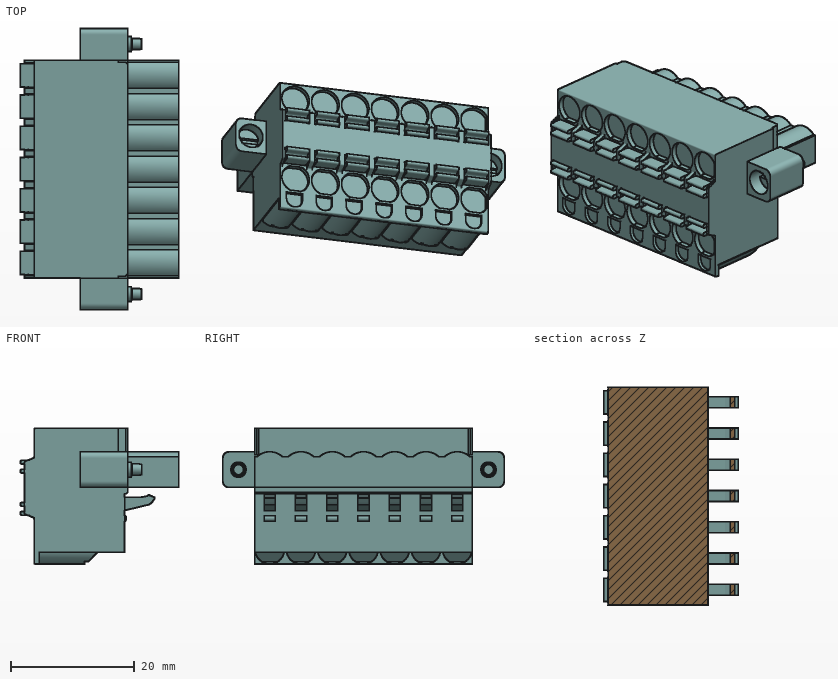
import cadquery as cq

POLES = 7
PITCH = 5.07
TOTAL_LENGTH = 25.75
TOTAL_WIDTH = 45.7
TOTAL_HEIGHT = 22.1

BODY_WIDTH = 35.4
FACE_X = 2.25
BACK_X = 17.45
LOWER_BACK_X = 16.95
BACK_STEP_Z = 11.4
BACK_STEP_ROUND = 0.27
LIP_THICKNESS = 0.82
BELLY_Z = 1.9
EDGE_ROUND = 0.25
MIRROR_Z = 12.4

BAND_X = 0.7
BAND_HALF_ROOT = 4.9
BAND_HALF_CREST = 4.25
BAND_ROUND = 0.27
BAND_ROOT_ROUND = 0.25

NOTCH_DEPTH = 0.3
NOTCH_X = 15.9
NOTCH_CHAMFER = 0.35
NOTCH_SINK = 0.45

ENTRY_RADIUS = 2.35
ENTRY_OFFSET_Y = -0.2
ENTRY_OFFSET_Z = 6.95
ENTRY_INNER_FLAT = 2.1
ENTRY_OUTER_FLAT = 2.15
ENTRY_DEPTH = 0.9
ENTRY_EDGE_WALL = 0.25

WINDOW_RADIUS = 1.35
WINDOW_CENTRE_Z = 1.8
WINDOW_TOP_Z = 2.9
WINDOW_DEPTH = 0.65

BOSS_RADIUS = 2.4
BOSS_FLAT_END_X = 10.45
BOSS_STEP_Z = 0.39
BOSS_STEP_END_X = 11.05
BOSS_END_X = 12.57

BUTTON_WIDTH = 3.8
BUTTON_GAP = 0.2
BUTTON_NEAR = 2.4
BUTTON_FAR = 4.5
BUTTON_NOSE = 0.25
BUTTON_RIB = 0.65
BUTTON_HOLLOW_X = 0.9

SOCKET_BOTTOM_Z = 12.45
SOCKET_TOP_Z = 18.25
SOCKET_VALLEY_Z = 17.4
SOCKET_CROWN_WIDTH = 4.2

EAR_X = 9.75
EAR_ROUND = 1.0
EAR_CENTRE_Z = (SOCKET_BOTTOM_Z + SOCKET_TOP_Z) / 2
SCREW_Y = 20.3
SCREW_HOLE_RADIUS = 2.0
SCREW_HOLE_DEPTH = 2.3
SCREW_SLOT_WIDTH = 0.82
SCREW_SLOT_DEPTH = 0.7
COLLAR_RADIUS = 1.25
COLLAR_END_X = 18.05
SHOULDER_RADIUS = 1.0
SHOULDER_END_X = 18.2
PIN_RADIUS = 0.9
PIN_END_X = 19.7
PIN_TIP_LENGTH = 0.35
PIN_TIP_TAPER = 0.1

LATCH_WIDTH = 1.85
LATCH_BOTTOM_Z = 8.7
LATCH_TOP_Z = 10.9
LATCH_HOOK = [
    (20.95, 9.65),
    (21.35, 9.95),
    (21.85, 10.65),
    (21.85, 10.85),
    (20.85, 11.25),
    (20.6, 11.05),
    (19.7, LATCH_TOP_Z),
]
NUB_Z = 7.4
NUB_HALF_HEIGHT = 0.45
NUB_HEIGHT = 0.27

OVERLAP = 0.45
POLE_YS = [PITCH * (i - (POLES - 1) / 2) for i in range(POLES)]


def plate_y(outline, width, y=0.0):
    """Extrude a closed XZ outline symmetrically about the given Y."""
    return outline.extrude(width / 2, both=True).translate((0, y, 0))


def xz():
    return cq.Workplane("XZ")


def box(x0, x1, y0, y1, z0, z1):
    return cq.Workplane("XY").box(x1 - x0, y1 - y0, z1 - z0, centered=False).translate((x0, y0, z0))


def rod(x0, x1, y, z, radius):
    """Cylinder along X."""
    return cq.Workplane("YZ", origin=(x0, y, z)).circle(radius).extrude(x1 - x0)


def mirrored_z(shape):
    """Mirror a piece to the other row of wire entries."""
    return shape.mirror("XY", (0, 0, MIRROR_Z))


def housing():
    """Side outline extruded over the full width, plus the raised band on the entry face."""
    outline = xz().polyline([
        (FACE_X, 0),
        (FACE_X + LIP_THICKNESS, 0),
        (FACE_X + LIP_THICKNESS, BELLY_Z),
        (LOWER_BACK_X, BELLY_Z),
        (LOWER_BACK_X, BACK_STEP_Z),
        (BACK_X - BACK_STEP_ROUND, BACK_STEP_Z),
        (BACK_X, BACK_STEP_Z + BACK_STEP_ROUND),
        (BACK_X, TOTAL_HEIGHT),
        (FACE_X, TOTAL_HEIGHT),
    ]).close()
    body = plate_y(outline, BODY_WIDTH)
    body = body.faces("<X").edges("|Y").fillet(EDGE_ROUND)

    band = xz().polyline([
        (FACE_X, MIRROR_Z - BAND_HALF_ROOT),
        (BAND_X, MIRROR_Z - BAND_HALF_CREST),
        (BAND_X, MIRROR_Z + BAND_HALF_CREST),
        (FACE_X, MIRROR_Z + BAND_HALF_ROOT),
        (FACE_X + OVERLAP, MIRROR_Z + BAND_HALF_ROOT),
        (FACE_X + OVERLAP, MIRROR_Z - BAND_HALF_ROOT),
    ]).close()
    band = plate_y(band, BODY_WIDTH).faces("<X").edges("|Y").fillet(BAND_ROUND)
    body = body.union(band)

    for side in (-1, 1):
        root = (FACE_X, 0, MIRROR_Z + side * BAND_HALF_ROOT)
        body = body.edges(cq.NearestToPointSelector(root)).fillet(BAND_ROOT_ROUND)
    return body


def corner_notch():
    """Shallow notch on the +Y end, beside and above the screw ear, chamfered at the mating face."""
    edge = BODY_WIDTH / 2
    floor = edge - NOTCH_DEPTH
    bottom_z = SOCKET_TOP_Z - NOTCH_SINK
    return (
        cq.Workplane("XY", origin=(0, 0, bottom_z))
        .polyline([
            (NOTCH_X, edge),
            (NOTCH_X, floor),
            (BACK_X - NOTCH_CHAMFER, floor),
            (BACK_X, floor - NOTCH_CHAMFER),
            (BACK_X, edge),
        ])
        .close()
        .extrude(TOTAL_HEIGHT - bottom_z)
    )


def wire_entry(y, z, low_flat, high_flat):
    """Round pocket with flats at the given distances below and above its centre."""
    depth_end = FACE_X + ENTRY_DEPTH
    wall_y = BODY_WIDTH / 2 - ENTRY_EDGE_WALL
    keep = box(FACE_X, depth_end, -wall_y, wall_y, z - low_flat, z + high_flat)
    return rod(FACE_X, depth_end, y, z, ENTRY_RADIUS).intersect(keep)


def test_window(y):
    """Pocket with a round bottom and straight sides."""
    depth_end = FACE_X + WINDOW_DEPTH
    upper = box(FACE_X, depth_end, y - WINDOW_RADIUS, y + WINDOW_RADIUS, WINDOW_CENTRE_Z, WINDOW_TOP_Z)
    lower = box(FACE_X, depth_end, y - WINDOW_RADIUS, y + WINDOW_RADIUS, 0, WINDOW_CENTRE_Z)
    return rod(FACE_X, depth_end, y, WINDOW_CENTRE_Z, WINDOW_RADIUS).intersect(lower).union(upper)


def belly_boss(y):
    """Round rib along X with a stepped and sloped end."""
    start_x = FACE_X + LIP_THICKNESS - OVERLAP
    top_z = BELLY_Z + OVERLAP
    profile = xz().polyline([
        (start_x, 0),
        (BOSS_FLAT_END_X, 0),
        (BOSS_FLAT_END_X, BOSS_STEP_Z),
        (BOSS_STEP_END_X, BOSS_STEP_Z),
        (BOSS_END_X, BELLY_Z),
        (BOSS_END_X, top_z),
        (start_x, top_z),
    ]).close()
    bar = rod(start_x, BOSS_END_X, y, BOSS_RADIUS, BOSS_RADIUS)
    return bar.intersect(plate_y(profile, 2 * BOSS_RADIUS, y))


def button_slot(y):
    """Clearance for an upper push button, cut through the edge of the band."""
    half = BUTTON_WIDTH / 2 + BUTTON_GAP
    bottom_z = MIRROR_Z + BUTTON_NEAR
    top_z = MIRROR_Z + BAND_HALF_ROOT + BAND_ROOT_ROUND
    return box(0, FACE_X, y - half, y + half, bottom_z, top_z)


def push_button(y):
    """Upper push button: two rounded finger ribs with a hollow between them."""
    near = MIRROR_Z + BUTTON_NEAR
    far = MIRROR_Z + BUTTON_FAR
    hollow_low = near + BUTTON_RIB
    hollow_high = far - BUTTON_RIB
    hollow_radius = (hollow_high - hollow_low) / 2
    hollow_end = (BUTTON_HOLLOW_X + hollow_radius, hollow_low + hollow_radius)
    outline = (
        xz()
        .moveTo(FACE_X + OVERLAP, near)
        .lineTo(BUTTON_NOSE, near)
        .threePointArc((0, near + BUTTON_RIB / 2), (BUTTON_NOSE, hollow_low))
        .lineTo(BUTTON_HOLLOW_X, hollow_low)
        .threePointArc(hollow_end, (BUTTON_HOLLOW_X, hollow_high))
        .lineTo(BUTTON_NOSE, hollow_high)
        .threePointArc((0, far - BUTTON_RIB / 2), (BUTTON_NOSE, far))
        .lineTo(FACE_X + OVERLAP, far)
        .close()
    )
    return plate_y(outline, BUTTON_WIDTH, y)


def sockets():
    """Block behind the mating face whose top is one shallow arch per pole."""
    half = BODY_WIDTH / 2
    profile = (
        cq.Workplane("YZ", origin=(BACK_X - OVERLAP, 0, 0))
        .moveTo(-half, SOCKET_BOTTOM_Z)
        .lineTo(-half, SOCKET_VALLEY_Z)
    )
    for y in POLE_YS:
        profile = (
            profile
            .lineTo(y - SOCKET_CROWN_WIDTH / 2, SOCKET_VALLEY_Z)
            .threePointArc((y, SOCKET_TOP_Z), (y + SOCKET_CROWN_WIDTH / 2, SOCKET_VALLEY_Z))
        )
    profile = profile.lineTo(half, SOCKET_VALLEY_Z).lineTo(half, SOCKET_BOTTOM_Z).close()
    return profile.extrude(TOTAL_LENGTH - BACK_X + OVERLAP)


def screw_ear():
    """Ear on the +Y end with its sunken slotted screw and the screw tip behind it."""
    ear = box(EAR_X, BACK_X, BODY_WIDTH / 2 - OVERLAP, TOTAL_WIDTH / 2, SOCKET_BOTTOM_Z, SOCKET_TOP_Z)
    ear = ear.faces(">Y").edges("|X").fillet(EAR_ROUND)

    head_x = EAR_X + SCREW_HOLE_DEPTH
    slot_end_x = head_x + SCREW_SLOT_DEPTH
    slot = rod(head_x, slot_end_x, SCREW_Y, EAR_CENTRE_Z, SCREW_HOLE_RADIUS).intersect(
        box(
            head_x, slot_end_x,
            SCREW_Y - SCREW_HOLE_RADIUS, SCREW_Y + SCREW_HOLE_RADIUS,
            EAR_CENTRE_Z - SCREW_SLOT_WIDTH / 2, EAR_CENTRE_Z + SCREW_SLOT_WIDTH / 2,
        )
    )
    ear = ear.cut(rod(EAR_X, head_x, SCREW_Y, EAR_CENTRE_Z, SCREW_HOLE_RADIUS)).cut(slot)

    start_x = BACK_X - OVERLAP
    tip = (
        xz()
        .polyline([
            (start_x, 0),
            (start_x, COLLAR_RADIUS),
            (COLLAR_END_X, COLLAR_RADIUS),
            (COLLAR_END_X, SHOULDER_RADIUS),
            (SHOULDER_END_X, PIN_RADIUS),
            (PIN_END_X - PIN_TIP_LENGTH, PIN_RADIUS),
            (PIN_END_X, PIN_RADIUS - PIN_TIP_TAPER),
            (PIN_END_X, 0),
        ])
        .close()
        .revolve(360, (0, 0, 0), (1, 0, 0))
        .translate((0, SCREW_Y, EAR_CENTRE_Z))
    )
    return ear.union(tip)


def latch(y):
    """Snap arm reaching out of the lower mating face."""
    outline = xz().polyline([
        (LOWER_BACK_X - OVERLAP, LATCH_BOTTOM_Z),
        (LOWER_BACK_X, LATCH_BOTTOM_Z),
        *LATCH_HOOK,
        (LOWER_BACK_X - OVERLAP, LATCH_TOP_Z),
    ]).close()
    return plate_y(outline, LATCH_WIDTH, y)


def nub(y):
    """Low rounded bump below the latch."""
    outline = (
        xz()
        .moveTo(LOWER_BACK_X - OVERLAP, NUB_Z - NUB_HALF_HEIGHT)
        .lineTo(LOWER_BACK_X, NUB_Z - NUB_HALF_HEIGHT)
        .threePointArc((LOWER_BACK_X + NUB_HEIGHT, NUB_Z), (LOWER_BACK_X, NUB_Z + NUB_HALF_HEIGHT))
        .lineTo(LOWER_BACK_X - OVERLAP, NUB_Z + NUB_HALF_HEIGHT)
        .close()
    )
    return plate_y(outline, LATCH_WIDTH, y)


result = housing().union(sockets())

for piece in (screw_ear(), screw_ear().mirror("XZ")):
    result = result.union(piece)

for piece in (corner_notch(), corner_notch().mirror("XZ")):
    result = result.cut(piece)

for pole_y in POLE_YS:
    entry_y = pole_y + ENTRY_OFFSET_Y
    result = (
        result
        .cut(button_slot(pole_y))
        .cut(mirrored_z(button_slot(pole_y)))
        .union(push_button(pole_y))
        .union(mirrored_z(push_button(pole_y)))
        .union(belly_boss(pole_y))
        .union(latch(pole_y))
        .union(nub(pole_y))
        .cut(wire_entry(entry_y, MIRROR_Z + ENTRY_OFFSET_Z, ENTRY_INNER_FLAT, ENTRY_RADIUS))
        .cut(wire_entry(entry_y, MIRROR_Z - ENTRY_OFFSET_Z, ENTRY_OUTER_FLAT, ENTRY_INNER_FLAT))
        .cut(test_window(pole_y))
    )